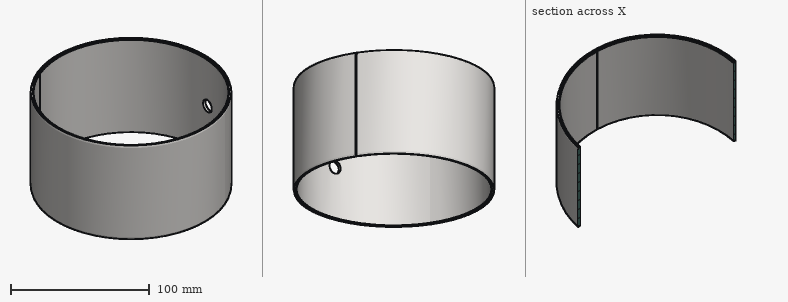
import cadquery as cq

outer_diameter = 145.0
height = 80.0
wall = 2.5
outer_radius = outer_diameter / 2
inner_radius = outer_radius - wall

outer_chamfer_length = 1.7
outer_chamfer_depth = 0.5
inner_chamfer = 0.7

slit_width = 1.0
hole_diameter = 10.0
hole_height = height / 2
hole_angle = 59


def sleeve():
    """Revolved wall section with chamfered rims inside and outside."""
    outer_rim = outer_radius - outer_chamfer_depth
    inner_rim = inner_radius + inner_chamfer
    section = (
        cq.Workplane("XZ")
        .moveTo(inner_rim, 0)
        .lineTo(outer_rim, 0)
        .lineTo(outer_radius, outer_chamfer_length)
        .lineTo(outer_radius, height - outer_chamfer_length)
        .lineTo(outer_rim, height)
        .lineTo(inner_rim, height)
        .lineTo(inner_radius, height - inner_chamfer)
        .lineTo(inner_radius, inner_chamfer)
        .close()
    )
    return section.revolve(360, (0, 0, 0), (0, 1, 0))


def slit():
    """Full-height cut that opens the ring at -X, with one face on the XZ plane."""
    return (
        cq.Workplane("XY")
        .center(-outer_radius, slit_width / 2)
        .rect(4 * wall, slit_width)
        .extrude(height)
    )


def radial_hole():
    """Round drill through one wall only."""
    return (
        cq.Workplane("YZ")
        .center(0, hole_height)
        .circle(hole_diameter / 2)
        .extrude(outer_diameter)
        .rotate((0, 0, 0), (0, 0, 1), hole_angle)
    )


result = sleeve().cut(slit()).cut(radial_hole())